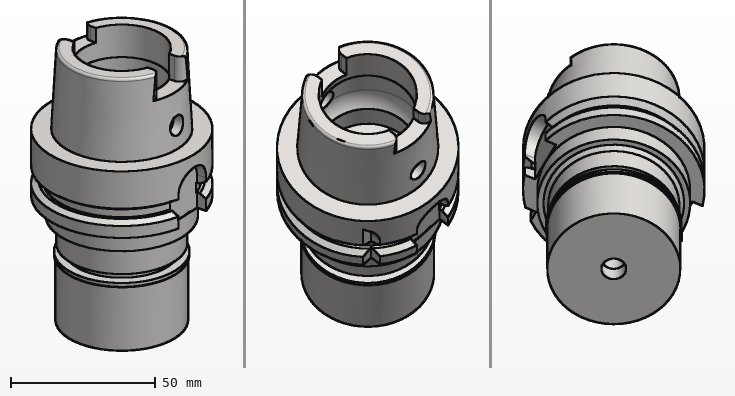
import cadquery as cq
import math

TOTAL_HEIGHT = 107.0
FLANGE_TOP = 75.2
FLANGE_HEIGHT = 26.2
FLANGE_BOTTOM = FLANGE_TOP - FLANGE_HEIGHT
GROOVE_TOP = 58.8
GROOVE_BOTTOM = 55.1
SHOULDER_BOTTOM = 41.1
NOSE_BOTTOM = 30.1
RING_TOP = 27.0
RING_BOTTOM = 25.0
NUT_FRONT_WALL = 6.4

TAPER_BASE_RADIUS = 24.5
TAPER_TOP_RADIUS = 22.8
TAPER_TOP_ROUND = 1.1

FLANGE_DIAMETER = 63.0
FLANGE_RADIUS = FLANGE_DIAMETER / 2
GROOVE_RADIUS = 27.6
GROOVE_MOUTH_RADIUS = 28.9
UPPER_BEVEL_HEIGHT = 1.7
LOWER_BEVEL_HEIGHT = 1.4

SHOULDER_RADIUS = 26.5
NOSE_RADIUS = 22.8
CORNER_BEVEL = 1.6
SPIGOT_RADIUS = 19.7

MOUTH_RADIUS = 17.0
MOUTH_DEPTH = 12.8
RECESS_RADIUS = 20.0
RECESS_CURVE_START = 81.3
RECESS_CURVE_RADIUS = 10.0
BORE_FLOOR = 65.3
TUBE_BORE_RADIUS = 9.0
TUBE_BORE_DEPTH = 12.8
COOLANT_RADIUS = 4.3

DRIVE_SLOT_WIDTH = 12.5
DRIVE_SLOT_DEPTH_LEFT = 5.8
DRIVE_SLOT_DEPTH_RIGHT = 10.0
LUG_HALF_LENGTH = 21.1
LUG_CORNER_RADIUS = 3.0

CROSS_HOLE_DIAMETER = 7.5
CROSS_HOLE_HEIGHT = 84.1

NOTCH_WIDTH = 16.0
NOTCH_TOP = 70.1
INDEX_NOTCH_TOP = 71.0
INDEX_NOTCH_FLOOR = 20.1
INDEX_NOTCH_SIDE = INDEX_NOTCH_FLOOR

RING_RADIUS = 23.5
NUT_RADIUS = 23.1


def cylinder(radius, bottom, top):
    """Upright cylinder on the Z axis."""
    return cq.Workplane("XY").workplane(offset=bottom).circle(radius).extrude(top - bottom)


def holder_blank():
    """Turned outside of the holder, from the spigot up to the rounded shank end."""
    outline = [
        (0, NUT_FRONT_WALL),
        (SPIGOT_RADIUS, NUT_FRONT_WALL),
        (SPIGOT_RADIUS, NOSE_BOTTOM),
        (NOSE_RADIUS, NOSE_BOTTOM),
        (NOSE_RADIUS, SHOULDER_BOTTOM - CORNER_BEVEL),
        (NOSE_RADIUS + CORNER_BEVEL, SHOULDER_BOTTOM),
        (SHOULDER_RADIUS, SHOULDER_BOTTOM),
        (SHOULDER_RADIUS, FLANGE_BOTTOM),
        (FLANGE_RADIUS, FLANGE_BOTTOM),
        (FLANGE_RADIUS, GROOVE_BOTTOM - LOWER_BEVEL_HEIGHT),
        (GROOVE_MOUTH_RADIUS, GROOVE_BOTTOM),
        (GROOVE_RADIUS, GROOVE_BOTTOM),
        (GROOVE_RADIUS, GROOVE_TOP),
        (GROOVE_MOUTH_RADIUS, GROOVE_TOP),
        (FLANGE_RADIUS, GROOVE_TOP + UPPER_BEVEL_HEIGHT),
        (FLANGE_RADIUS, FLANGE_TOP),
        (TAPER_BASE_RADIUS, FLANGE_TOP),
        (TAPER_TOP_RADIUS, TOTAL_HEIGHT),
        (0, TOTAL_HEIGHT),
    ]
    blank = cq.Workplane("YZ").polyline(outline).close().revolve(360, (0, 0), (0, 1))
    return blank.faces(">Z").edges().fillet(TAPER_TOP_ROUND)


def clamping_recess():
    """Wider ring inside the bore, whose wall curves back in to the mouth radius at its lower end."""
    recess_top = TOTAL_HEIGHT - MOUTH_DEPTH
    curve_axis = RECESS_RADIUS - RECESS_CURVE_RADIUS
    curve_drop = math.sqrt(RECESS_CURVE_RADIUS**2 - (MOUTH_RADIUS - curve_axis) ** 2)
    half_angle = math.asin(curve_drop / RECESS_CURVE_RADIUS) / 2
    curve_middle = (
        curve_axis + RECESS_CURVE_RADIUS * math.cos(half_angle),
        RECESS_CURVE_START - RECESS_CURVE_RADIUS * math.sin(half_angle),
    )
    return (
        cq.Workplane("YZ")
        .moveTo(0, recess_top)
        .lineTo(RECESS_RADIUS, recess_top)
        .lineTo(RECESS_RADIUS, RECESS_CURVE_START)
        .threePointArc(curve_middle, (MOUTH_RADIUS, RECESS_CURVE_START - curve_drop))
        .lineTo(0, RECESS_CURVE_START - curve_drop)
        .close()
        .revolve(360, (0, 0), (0, 1))
    )


def central_bores():
    """Stepped bore on the axis: mouth, wider clamping recess, tube bore and coolant hole."""
    mouth = cylinder(MOUTH_RADIUS, BORE_FLOOR, TOTAL_HEIGHT)
    recess = clamping_recess()
    tube_bore = cylinder(TUBE_BORE_RADIUS, BORE_FLOOR - TUBE_BORE_DEPTH, BORE_FLOOR)
    coolant_hole = cylinder(COOLANT_RADIUS, 0, BORE_FLOOR)
    return mouth.union(recess).union(tube_bore).union(coolant_hole)


def drive_slot(side, depth):
    """Slot through the shank wall on one X side, opening out around the rounded lug corners."""
    floor = TOTAL_HEIGHT - depth
    lug_width = TAPER_BASE_RADIUS
    half_slot = DRIVE_SLOT_WIDTH / 2
    cut = (
        cq.Workplane("XY", origin=(0, 0, floor))
        .rect(TAPER_BASE_RADIUS, 2 * TAPER_BASE_RADIUS)
        .extrude(depth)
        .translate((side * TAPER_BASE_RADIUS, 0, 0))
    )
    for lug_side in (-1, 1):
        lug = (
            cq.Workplane("XY", origin=(0, lug_side * (half_slot + lug_width / 2), floor))
            .rect(2 * LUG_HALF_LENGTH, lug_width)
            .extrude(depth)
            .edges("|Z")
            .fillet(LUG_CORNER_RADIUS)
        )
        cut = cut.cut(lug)
    return cut


def cross_hole():
    """Round hole along X through both shank walls."""
    return (
        cq.Workplane("YZ", origin=(0, 0, CROSS_HOLE_HEIGHT))
        .circle(CROSS_HOLE_DIAMETER / 2)
        .extrude(TAPER_BASE_RADIUS, both=True)
    )


def flange_notch(side, floor, center_y, top):
    """Round-topped notch cut along X into the flange, down to a flat floor at the given distance."""
    half_width = NOTCH_WIDTH / 2
    arch_start = top - half_width
    return (
        cq.Workplane("YZ", origin=(side * floor, center_y, 0))
        .moveTo(-half_width, FLANGE_BOTTOM)
        .lineTo(half_width, FLANGE_BOTTOM)
        .lineTo(half_width, arch_start)
        .threePointArc((0, top), (-half_width, arch_start))
        .close()
        .extrude(side * FLANGE_RADIUS)
    )


def make_holder():
    holder = holder_blank().cut(central_bores()).cut(cross_hole())
    holder = holder.cut(drive_slot(-1, DRIVE_SLOT_DEPTH_LEFT))
    holder = holder.cut(drive_slot(1, DRIVE_SLOT_DEPTH_RIGHT))
    for side in (-1, 1):
        holder = holder.cut(flange_notch(side, SHOULDER_RADIUS, 0, NOTCH_TOP))
    index_center = INDEX_NOTCH_SIDE + NOTCH_WIDTH / 2
    return holder.cut(flange_notch(-1, INDEX_NOTCH_FLOOR, index_center, INDEX_NOTCH_TOP))


def make_ring():
    """Thin ring around the spigot, bevelled down to the nut radius."""
    ring = cylinder(RING_RADIUS, RING_BOTTOM, RING_TOP)
    ring = ring.faces("<Z").edges().chamfer(RING_RADIUS - NUT_RADIUS)
    return ring.cut(cylinder(SPIGOT_RADIUS, RING_BOTTOM, RING_TOP))


def make_nut():
    """Plain cylindrical nut with a socket for the spigot and a coolant hole in its front wall."""
    nut = cylinder(NUT_RADIUS, 0, RING_BOTTOM)
    nut = nut.cut(cylinder(SPIGOT_RADIUS, NUT_FRONT_WALL, RING_BOTTOM))
    return nut.cut(cylinder(COOLANT_RADIUS, 0, NUT_FRONT_WALL))


holder = make_holder()
ring = make_ring()
nut = make_nut()

result = cq.Compound.makeCompound([holder.val(), ring.val(), nut.val()])